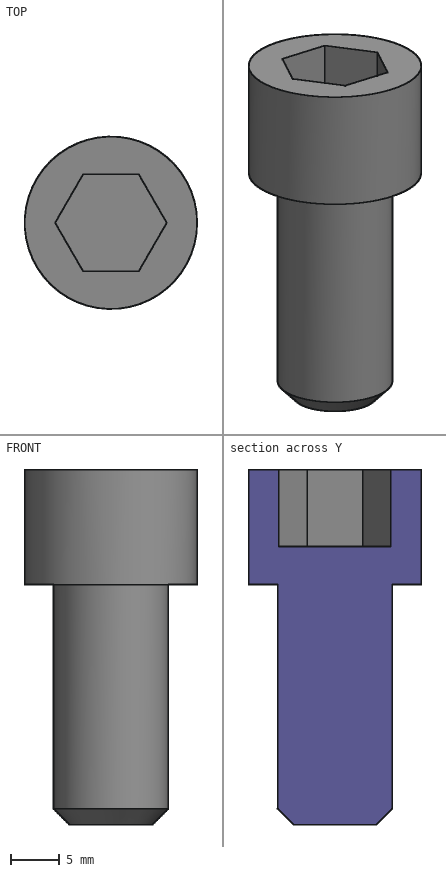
import cadquery as cq
import math

total_length = 37.0
head_diameter = 18.0
shank_diameter = 12.0
head_height = shank_diameter
shank_length = total_length - head_height
tip_chamfer = 1.7

socket_across_flats = 10.05
socket_across_corners = socket_across_flats / math.cos(math.pi / 6)
socket_depth = head_height * 2 / 3


def make_shank():
    shank = cq.Workplane("XY").circle(shank_diameter / 2).extrude(shank_length)
    return shank.faces("<Z").chamfer(tip_chamfer)


def make_head():
    head = cq.Workplane("XY").workplane(offset=shank_length)
    return head.circle(head_diameter / 2).extrude(head_height)


def make_socket():
    socket = cq.Workplane("XY").workplane(offset=total_length)
    return socket.polygon(6, socket_across_corners).extrude(-socket_depth)


screw = make_shank().union(make_head())
result = screw.cut(make_socket()).translate((0, 0, -shank_length))